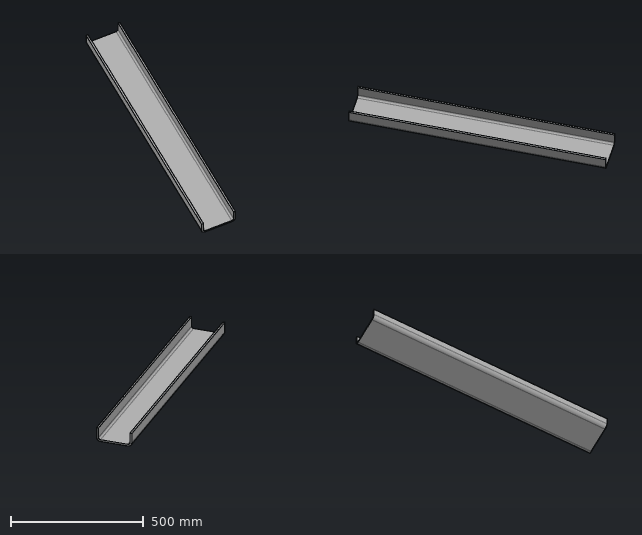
import cadquery as cq

length = 1000.0
width = 142.0
height = 56.0
thickness = 8.0
inner_bend_radius = 8.0
outer_bend_radius = inner_bend_radius + thickness


def rounded_bar(bar_width, bottom, bend_radius):
    """Full-length bar up to the channel's top, with its two lower long edges rounded."""
    return (
        cq.Workplane("XY", origin=(0, 0, bottom))
        .box(length, bar_width, height - bottom, centered=(True, True, False))
        .edges("|X and <Z")
        .fillet(bend_radius)
    )


outer_body = rounded_bar(width, 0, outer_bend_radius)
inner_space = rounded_bar(width - 2 * thickness, thickness, inner_bend_radius)
result = outer_body.cut(inner_space)